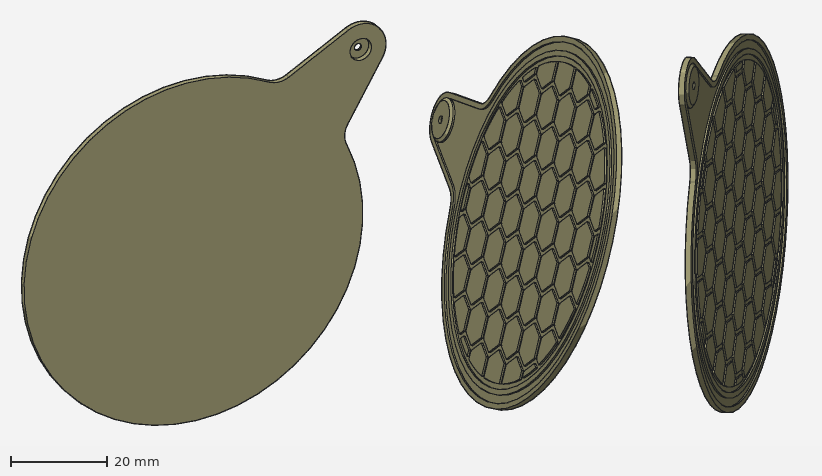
import cadquery as cq
import math

disc_radius = 39.4
wall = 1.2
tab_offset_y = 38.9
tab_offset_z = 38.0
eyelet_diameter = 9.4
taper_angle = 15.0
neck_fillet = 5.0
plate_thickness = 1.3
recess_depth = 0.4
boss_height = 0.5
boss_top_diameter = 8.1
eyelet_hole_diameter = 1.6
socket_diameter = 5.0
socket_skin = 0.5
ring_outer_diameter = 72.8
ring_inner_diameter = 70.4
cell_size = 8.0

tab_radius = eyelet_diameter / 2 + wall
tab_distance = math.hypot(tab_offset_y, tab_offset_z)
tab_angle = math.degrees(math.atan2(tab_offset_z, tab_offset_y))
field_radius = ring_inner_diameter / 2 - wall
cell_pitch = cell_size + wall
column_pitch = cell_pitch * math.sqrt(3) / 2


def face_plane(x):
    """Plane at the given X with local x along -Y, local y along Z and its normal along -X."""
    return cq.Workplane(cq.Plane(origin=(x, 0, 0), xDir=(0, -1, 0), normal=(-1, 0, 0)))


def cylinder(x, radius, height):
    """Disc-centred cylinder rising from the given X toward -X."""
    return face_plane(x).circle(radius).extrude(height)


def at_eyelet(body):
    """Move a body from the disc centre to the eyelet centre."""
    return body.translate((0, tab_offset_y, tab_offset_z))


def outline(inset, x, height):
    """Disc with its tapered tab, with the whole edge moved inward by inset."""
    end_radius = tab_radius - inset
    taper = math.radians(taper_angle)
    tangent_along = tab_distance + end_radius * math.sin(taper)
    tangent_across = end_radius * math.cos(taper)
    root_across = tangent_across + tangent_along * math.tan(taper)
    tab = (
        face_plane(x)
        .moveTo(0, -root_across)
        .lineTo(-tangent_along, -tangent_across)
        .threePointArc((-tab_distance - end_radius, 0), (-tangent_along, tangent_across))
        .lineTo(0, root_across)
        .close()
        .extrude(height)
        .rotate((0, 0, 0), (1, 0, 0), tab_angle)
    )
    body = cylinder(x, disc_radius - inset, height).union(tab)
    far_corner = (plate_thickness, tab_offset_y, tab_offset_z)
    neck_box = cq.selectors.BoxSelector((-plate_thickness, 0, 0), far_corner)
    return body.edges("|X").edges(neck_box).fillet(neck_fillet + inset)


def honeycomb(x, height):
    """Hexagonal cells trimmed to the round field."""
    columns = math.ceil(field_radius / column_pitch)
    rows = math.ceil(field_radius / cell_pitch)
    centres = []
    for column in range(-columns, columns + 1):
        shift = cell_pitch / 2 * (column % 2)
        for row in range(-rows - 1, rows + 1):
            centres.append((column * column_pitch, row * cell_pitch + shift))
    corner_diameter = cell_size / math.cos(math.pi / 6)
    cells = face_plane(x).pushPoints(centres).polygon(6, corner_diameter).extrude(height)
    return cells.intersect(cylinder(x, field_radius, height))


floor_x = recess_depth - plate_thickness
plate = outline(0, 0, plate_thickness)

recess = outline(wall, floor_x, recess_depth)
ring = cylinder(floor_x, ring_outer_diameter / 2, recess_depth)
ring = ring.cut(cylinder(floor_x, ring_inner_diameter / 2, recess_depth))
result = plate.cut(recess).union(ring).union(honeycomb(floor_x, recess_depth))

boss = (
    face_plane(floor_x)
    .circle(eyelet_diameter / 2)
    .extrude(recess_depth)
    .faces("<X")
    .workplane()
    .circle(eyelet_diameter / 2)
    .workplane(offset=boss_height)
    .circle(boss_top_diameter / 2)
    .loft()
)
result = result.union(at_eyelet(boss))

total_thickness = plate_thickness + boss_height
socket = cylinder(0, socket_diameter / 2, total_thickness - socket_skin)
hole = cylinder(0, eyelet_hole_diameter / 2, total_thickness)
result = result.cut(at_eyelet(socket)).cut(at_eyelet(hole))